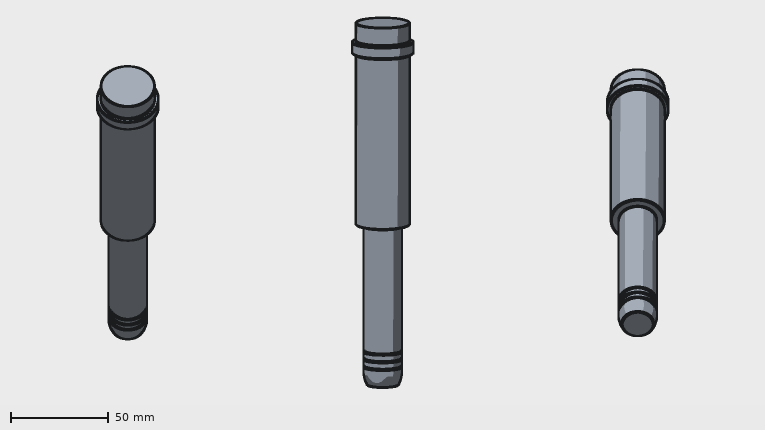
import cadquery as cq

total_length = 190.0
collar_diameter = 32.0
body_diameter = 28.0
pin_diameter = 20.0

head_height = 10.0
collar_height = 5.9
body_length = 90.0
shoulder_chamfer = 0.5
head_chamfer = 0.4
collar_chamfer = 0.4
relief_width = 1.0
head_relief_depth = 0.5
body_relief_depth = 0.2
pin_relief_depth = 0.2

groove_count = 3
groove_pitch = 4.0
groove_width = 1.1
groove_depth = 0.5
lowest_groove_z = 9.9

tip_height = 6.0
tip_end_radius = 8.4
tip_bulge = 0.28
tip_chamfer = 0.5

collar_radius = collar_diameter / 2
body_radius = body_diameter / 2
pin_radius = pin_diameter / 2
collar_top_z = total_length - head_height
collar_bottom_z = collar_top_z - collar_height
shoulder_z = collar_bottom_z - body_length


def cylinder(radius, bottom_z, top_z):
    """Solid cylinder on the Z axis between two heights."""
    return cq.Workplane("XY").workplane(offset=bottom_z).circle(radius).extrude(top_z - bottom_z)


def ring_groove(radius, depth, bottom_z, width):
    """Ring that cuts a V-shaped groove into a cylinder of the given radius."""
    return (
        cq.Workplane("XZ")
        .moveTo(radius, bottom_z)
        .lineTo(radius - depth, bottom_z + width / 2)
        .lineTo(radius, bottom_z + width)
        .close()
        .revolve(360, (0, 0, 0), (0, 1, 0))
    )


def make_pin():
    """Slim pin with a bowed, tapered tip and ring grooves above it, relieved below the shoulder."""
    bow_point = ((pin_radius + tip_end_radius) / 2 + tip_bulge, (tip_height + tip_chamfer) / 2)
    pin = (
        cq.Workplane("XZ")
        .moveTo(0, 0)
        .lineTo(tip_end_radius - tip_chamfer, 0)
        .lineTo(tip_end_radius, tip_chamfer)
        .threePointArc(bow_point, (pin_radius, tip_height))
        .lineTo(pin_radius, shoulder_z)
        .lineTo(0, shoulder_z)
        .close()
        .revolve(360, (0, 0, 0), (0, 1, 0))
    )
    for index in range(groove_count):
        bottom_z = lowest_groove_z + index * groove_pitch - groove_width / 2
        pin = pin.cut(ring_groove(pin_radius, groove_depth, bottom_z, groove_width))
    return pin.cut(ring_groove(pin_radius, pin_relief_depth, shoulder_z - relief_width, relief_width))


def make_body():
    """Thick body with its collar, and an undercut on each side of the collar."""
    body = cylinder(body_radius, shoulder_z, total_length)
    body = body.faces("<Z").edges().chamfer(shoulder_chamfer)
    body = body.faces(">Z").edges().chamfer(head_chamfer)
    body = body.cut(ring_groove(body_radius, head_relief_depth, collar_top_z, relief_width))
    body = body.cut(
        ring_groove(body_radius, body_relief_depth, collar_bottom_z - relief_width, relief_width)
    )
    collar = cylinder(collar_radius, collar_bottom_z, collar_top_z)
    collar = collar.faces("<Z or >Z").edges().chamfer(collar_chamfer)
    return body.union(collar)


result = make_body().union(make_pin())